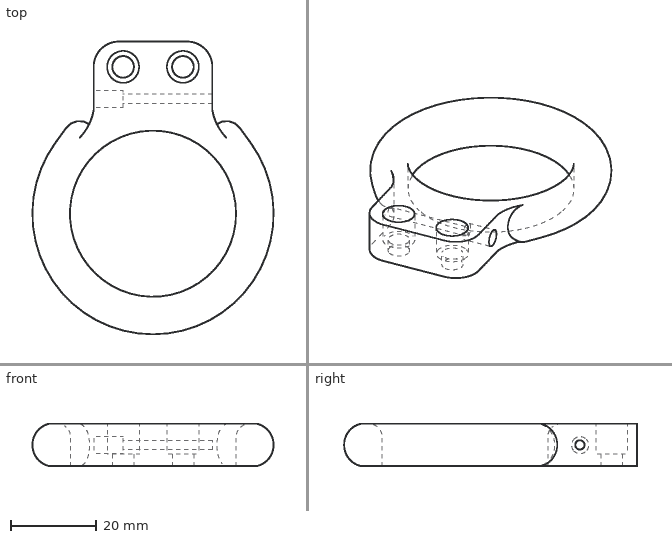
import cadquery as cq
import math

thickness = 10.0
bore_radius = 19.5
bore_fillet = 3.0
flat_radius = 24.45
bead_width = 3.9
bead_overlap = 0.7

lug_half_width = 14.0
lug_end = 40.5
lug_corner_radius = 6.0
neck_start = 24.25
neck_radius = 12.0
tangent_angle = 36.0
tangent_length = 4.35

mount_half_spacing = 7.0
mount_y = 34.5
mount_diameter = 5.0
mount_bore_diameter = 7.5
mount_bore_depth = 7.0

cross_y = 27.1
cross_diameter = 2.15
cross_bore_diameter = 4.0
cross_bore_depth = 6.9

tangent_x = flat_radius * math.cos(math.radians(tangent_angle))
tangent_y = flat_radius * math.sin(math.radians(tangent_angle))
neck_x = tangent_x - tangent_length * math.sin(math.radians(tangent_angle))
neck_y = tangent_y + tangent_length * math.cos(math.radians(tangent_angle))


def make_plate():
    """Flat core: disc and lug joined by straight tangents and neck arcs."""
    plate = (
        cq.Workplane("XY")
        .moveTo(-lug_half_width, lug_end)
        .lineTo(lug_half_width, lug_end)
        .lineTo(lug_half_width, neck_start)
        .radiusArc((neck_x, neck_y), -neck_radius)
        .lineTo(tangent_x, tangent_y)
        .threePointArc((0, -flat_radius), (-tangent_x, tangent_y))
        .lineTo(-neck_x, neck_y)
        .radiusArc((-lug_half_width, neck_start), -neck_radius)
        .close()
        .extrude(thickness)
    )
    return plate.edges("|Z and >Y").fillet(lug_corner_radius)


def bead_section():
    """XZ section of the bead, bulging outward from flat_radius."""
    return (
        cq.Workplane("XZ")
        .moveTo(flat_radius, 0)
        .threePointArc((flat_radius + bead_width, thickness / 2), (flat_radius, thickness))
        .lineTo(flat_radius - bead_overlap, thickness)
        .lineTo(flat_radius - bead_overlap, 0)
        .close()
    )


def make_bead():
    """Rounded bead around the disc, from one tangent point to the other."""
    bead = bead_section().revolve(180 + 2 * tangent_angle, (0, 0), (0, -1))
    return bead.rotate((0, 0, 0), (0, 0, 1), tangent_angle)


def make_straight_bead():
    """Straight stretch of bead along the +X side tangent."""
    bead = bead_section().extrude(-tangent_length)
    return bead.rotate((0, 0, 0), (0, 0, 1), tangent_angle)


def make_bead_cap():
    """Rounded end of the +X side bead, turned about the point where it meets the neck."""
    cap = (
        cq.Workplane("XZ")
        .lineTo(0, thickness)
        .threePointArc((bead_width, thickness / 2), (0, 0))
        .close()
        .revolve(360, (0, 0), (0, 1))
    )
    return cap.translate((neck_x, neck_y, 0))


def make_bore():
    """Cutter for the bore, flared at the top to round its rim."""
    rim_radius = bore_radius + bore_fillet
    diagonal = bore_fillet * (1 - math.sqrt(0.5))
    return (
        cq.Workplane("XZ")
        .lineTo(bore_radius, 0)
        .lineTo(bore_radius, thickness - bore_fillet)
        .threePointArc((bore_radius + diagonal, thickness - diagonal), (rim_radius, thickness))
        .lineTo(0, thickness)
        .close()
        .revolve(360, (0, 0), (0, 1))
    )


def make_mount_holes():
    """Mounting holes, counterbored from the top face."""
    centres = [(-mount_half_spacing, mount_y), (mount_half_spacing, mount_y)]
    holes = cq.Workplane("XY").pushPoints(centres).circle(mount_diameter / 2).extrude(thickness)
    bores = (
        cq.Workplane("XY", origin=(0, 0, thickness))
        .pushPoints(centres)
        .circle(mount_bore_diameter / 2)
        .extrude(-mount_bore_depth)
    )
    return holes.union(bores)


def make_cross_hole():
    """Hole across the lug, counterbored from the -X side."""
    start = cq.Workplane("YZ", origin=(-lug_half_width, cross_y, thickness / 2))
    hole = start.circle(cross_diameter / 2).extrude(2 * lug_half_width)
    bore = start.circle(cross_bore_diameter / 2).extrude(cross_bore_depth)
    return hole.union(bore)


body = make_plate().union(make_bead())
for bead_part in (make_straight_bead(), make_bead_cap()):
    body = body.union(bead_part).union(bead_part.mirror("YZ"))
result = body.cut(make_bore()).cut(make_mount_holes()).cut(make_cross_hole())